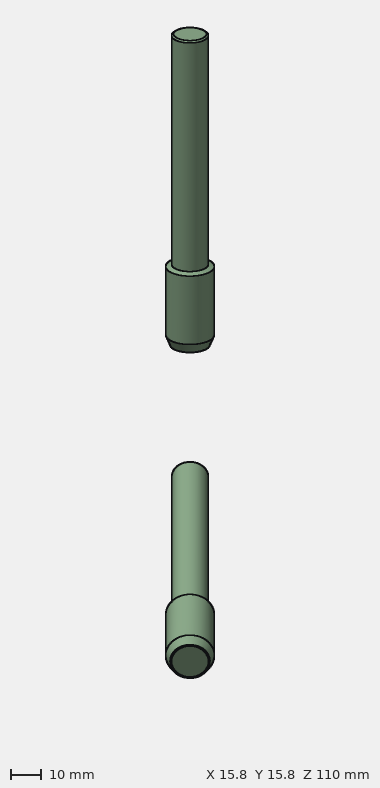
import cadquery as cq

TOTAL_LENGTH = 110.0

ROD_DIAMETER = 12.0
ROD_CHAMFER_WIDTH = 0.7
ROD_CHAMFER_HEIGHT = 0.5

SLEEVE_DIAMETER = 15.8
SLEEVE_LENGTH = 28.5
SHOULDER_HEIGHT = 0.8
NOSE_DIAMETER = 13.0
NOSE_HEIGHT = 3.5

ROD_RADIUS = ROD_DIAMETER / 2
SLEEVE_RADIUS = SLEEVE_DIAMETER / 2
NOSE_RADIUS = NOSE_DIAMETER / 2


def make_rod():
    """Full-length round rod with a chamfered top end."""
    return (
        cq.Workplane("XZ")
        .moveTo(0, 0)
        .lineTo(ROD_RADIUS, 0)
        .lineTo(ROD_RADIUS, TOTAL_LENGTH - ROD_CHAMFER_HEIGHT)
        .lineTo(ROD_RADIUS - ROD_CHAMFER_WIDTH, TOTAL_LENGTH)
        .lineTo(0, TOTAL_LENGTH)
        .close()
        .revolve(360, (0, 0), (0, 1))
    )


def make_sleeve():
    """Through-bored sleeve with a tapered nose and a sloping shoulder that meets the rod."""
    return (
        cq.Workplane("XZ")
        .moveTo(ROD_RADIUS, 0)
        .lineTo(NOSE_RADIUS, 0)
        .lineTo(SLEEVE_RADIUS, NOSE_HEIGHT)
        .lineTo(SLEEVE_RADIUS, SLEEVE_LENGTH - SHOULDER_HEIGHT)
        .lineTo(ROD_RADIUS, SLEEVE_LENGTH)
        .close()
        .revolve(360, (0, 0), (0, 1))
    )


rod = make_rod()
sleeve = make_sleeve()

result = cq.Compound.makeCompound([rod.val(), sleeve.val()])